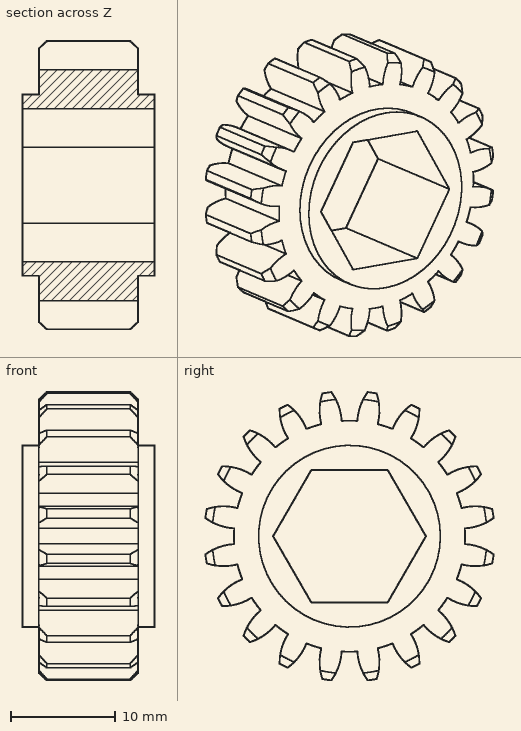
import cadquery as cq
import math

INCH = 25.4

tooth_count = 20
module = INCH / 20
pitch_radius = module * tooth_count / 2
tip_radius = pitch_radius + module
root_clearance = 0.25 * module
root_radius = pitch_radius - module - root_clearance
face_width = 3 / 8 * INCH
tip_chamfer = 0.03 * INCH

root_half_thickness = 1.0
pitch_half_thickness = 0.91
tip_half_thickness = 0.44

hub_diameter = 11 / 16 * INCH
hub_length = INCH / 2
hex_across_flats = INCH / 2
hex_side_count = 6

tooth_pitch_angle = 2 * math.pi / tooth_count


def tooth_point(radius, half_thickness, tooth_angle):
    """Point at a radius, offset sideways by half_thickness from a tooth's centreline."""
    angle = tooth_angle + math.asin(half_thickness / radius)
    return (radius * math.cos(angle), radius * math.sin(angle))


def centred_workplane(length):
    """YZ plane at the start of a length centred on the origin along X."""
    return cq.Workplane("YZ").workplane(offset=-length / 2)


def toothed_blank():
    """Extruded gear outline with a tooth space centred on the Y and Z axes."""
    first_angle = tooth_pitch_angle / 2
    outline = centred_workplane(face_width).moveTo(
        *tooth_point(root_radius, -root_half_thickness, first_angle)
    )
    for tooth in range(tooth_count):
        angle = first_angle + tooth * tooth_pitch_angle
        space_angle = angle + tooth_pitch_angle / 2
        next_angle = angle + tooth_pitch_angle
        outline = outline.threePointArc(
            tooth_point(pitch_radius, -pitch_half_thickness, angle),
            tooth_point(tip_radius, -tip_half_thickness, angle),
        )
        outline = outline.threePointArc(
            tooth_point(tip_radius, 0, angle),
            tooth_point(tip_radius, tip_half_thickness, angle),
        )
        outline = outline.threePointArc(
            tooth_point(pitch_radius, pitch_half_thickness, angle),
            tooth_point(root_radius, root_half_thickness, angle),
        )
        outline = outline.threePointArc(
            tooth_point(root_radius, 0, space_angle),
            tooth_point(root_radius, -root_half_thickness, next_angle),
        )
    return outline.close().extrude(face_width)


def chamfered_envelope():
    """Disc with chamfered rims that bevels the tooth tips at both faces."""
    disc = centred_workplane(face_width).circle(tip_radius).extrude(face_width)
    return disc.edges("%CIRCLE").chamfer(tip_chamfer)


def hub():
    """Cylinder standing out equally beyond both gear faces."""
    return centred_workplane(hub_length).circle(hub_diameter / 2).extrude(hub_length)


def hex_bore():
    """Through hexagon with two corners on the Y axis."""
    across_corners = hex_across_flats / math.cos(math.pi / hex_side_count)
    return centred_workplane(hub_length).polygon(hex_side_count, across_corners).extrude(hub_length)


gear = toothed_blank().intersect(chamfered_envelope())
result = gear.union(hub()).cut(hex_bore())